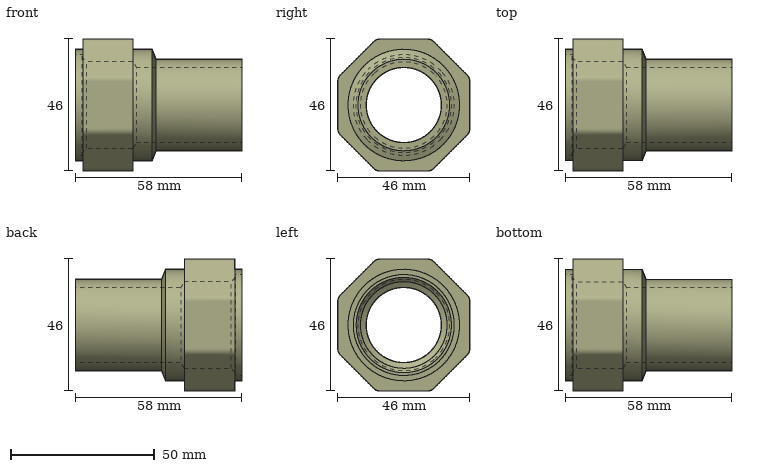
import cadquery as cq

total_length = 58.0
across_flats = 46.0
corner_radius = 2.9

nut_start = 2.55
nut_end = 20.05
collar_end = 26.7
taper_end = 28.1

collar_diameter = 38.85
pipe_diameter = 31.9

recess_diameter = 35.15
chamfer_diameter = 33.2
thread_diameter = 30.15
bore_diameter = 26.1
recess_depth = 2.3
thread_end = 20.05
seat_end = 21.3
chamfer_end = recess_depth + (chamfer_diameter - thread_diameter) / 2


def revolve_profile(points):
    """Revolve (x, radius) points, closed along the axis, about X."""
    return cq.Workplane("XY").polyline(points).close().revolve(360, (0, 0, 0), (1, 0, 0))


def make_body():
    collar_radius = collar_diameter / 2
    pipe_radius = pipe_diameter / 2
    return revolve_profile([
        (0, 0),
        (0, collar_radius),
        (collar_end, collar_radius),
        (taper_end, pipe_radius),
        (total_length, pipe_radius),
        (total_length, 0),
    ])


def make_nut():
    """Octagon with flats facing Y and Z and rounded corners."""
    nut_length = nut_end - nut_start
    nut_face = cq.Workplane("YZ", origin=(nut_start, 0, 0))
    square = nut_face.rect(across_flats, across_flats).extrude(nut_length)
    turned_square = square.rotate((0, 0, 0), (1, 0, 0), 45)
    return square.intersect(turned_square).edges("|X").fillet(corner_radius)


def make_bore():
    return revolve_profile([
        (0, 0),
        (0, recess_diameter / 2),
        (recess_depth, recess_diameter / 2),
        (recess_depth, chamfer_diameter / 2),
        (chamfer_end, thread_diameter / 2),
        (thread_end, thread_diameter / 2),
        (seat_end, bore_diameter / 2),
        (total_length, bore_diameter / 2),
        (total_length, 0),
    ])


result = make_body().union(make_nut()).cut(make_bore())